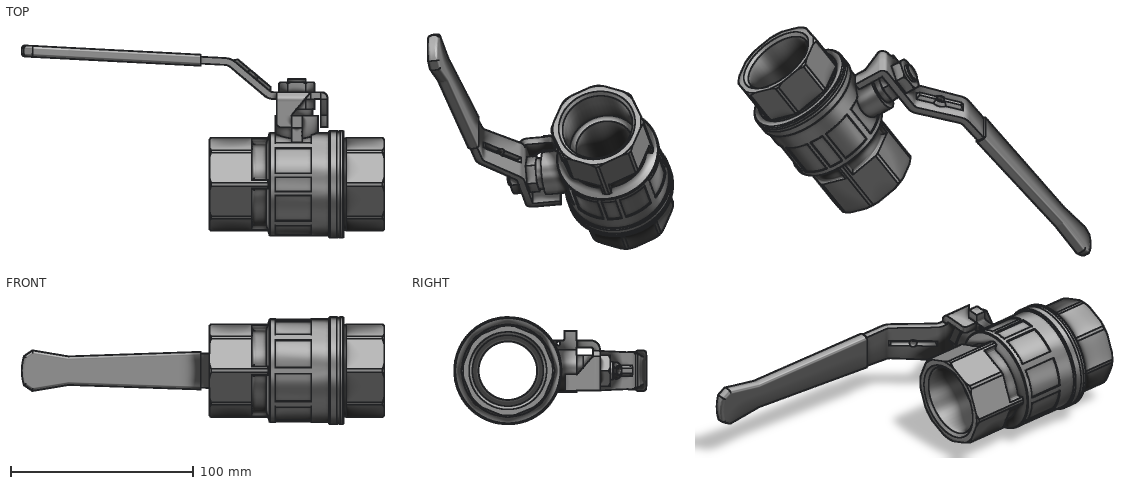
import cadquery as cq
import math


half_length = 48.0
octagon_flats = 48.0
octagon_corner_radius = 25.6
end_chamfer = 1.0
left_octagon_end = -15.0
cap_octagon_start = 27.1
cap_neck_radius = 25.3

shell_radius = 28.4
shell_start = -16.9
shoulder_end = -15.0
shoulder_chamfer = 0.5
flange_radius = 29.5
flange_start = 17.5
flange_end = 25.8
flange_edge = 0.7
flange_groove_x = 22.8
flange_groove_width = 1.8
flange_groove_depth = 0.4

bore_radius = 16.0
thread_radius = 19.5
thread_depth = 24.5
thread_mouth_radius = 21.3

neck_recess_start = -24.6
neck_recess_end = -14.0
neck_recess_radius = 22.2
neck_rib_half_angle = 5.5
neck_recess_fillet = 1.4

panel_start = -11.8
panel_end = 7.9
panel_depth = 0.8
panel_angles = [(-8.0, 8.0), (12.6, 45.3), (53.2, 86.4)]

boss_radius = 11.75
boss_top = 37.7
gland_radius = 8.6
gland_nut_bottom = 41.3
nut_flats = 17.0
nut_top = 56.1
nut_chamfer = 0.8
stem_radius = 5.0
stem_top = 58.0
stem_chamfer = 0.5

stop_half_width = 2.9
stop_height = 16.6
stop_top = 31.0
stop_bottom = 23.2
stop_lug_height = 21.8
stop_lug_fillet = 1.0
stop_hole_diameter = 2.0
stop_hole_y = 27.7
stop_hole_z = 14.9

lever_thickness = 3.9
plate_top = 50.6
plate_bottom = plate_top - lever_thickness
lever_root_half_width = 11.0
lever_root_x = -11.1
lever_tip_half_width = 9.4
lower_bend_x = -14.8
rise_angle = 40.0
upper_bend_x = -36.98
grip_angle = 3.0
lower_bend_outer_radius = 8.0
upper_bend_inner_radius = 5.0

rise_rib_base_width = 6.0
rise_rib_height = 2.0
rise_rib_end_gap = 2.0
rise_rib_taper = 40.0
rise_groove_width = 3.2
rise_groove_depth = 2.2
rise_groove_taper = 30.0
rise_hole_diameter = 4.4
rise_boss_base_diameter = 9.2

side_flange_outer_z = stop_height
side_flange_inner_radius = 1.2
side_flange_bottom = 31.4
side_flange_right = -2.8
side_flange_corner = 2.0
side_flange_slant_bottom = 38.0
side_flange_slant_x = 7.7

tab_inner_x = 13.0
tab_bend_radius = 3.5
tab_slant_top_z = 8.0
tab_slant_bottom_z = -2.0

grip_end_x = -150.94
grip_start_x = -52.7
grip_thickness = 6.2
grip_root_half_width = 10.4
grip_waist_x = -125.3
grip_waist_half_width = 7.9
grip_bulb_x = -145.0
grip_bulb_half_width = 11.2
grip_nose_half_width = 8.0
grip_nose_inset = 1.2
grip_edge_fillet = 1.9


def polar(radius, angle):
    """Point in the YZ plane at an angle in degrees from +Z toward +Y."""
    turn = math.radians(angle)
    return radius * math.sin(turn), radius * math.cos(turn)


def y_cylinder(radius, bottom, top):
    return cq.Workplane("XZ", origin=(0, bottom, 0)).circle(radius).extrude(bottom - top)


def ring_sector(x_start, x_end, inner, outer, angle_start, angle_end):
    """Block around the X axis, bounded by two radii and two angles from +Z."""
    middle = (angle_start + angle_end) / 2
    return (
        cq.Workplane("YZ", origin=(x_start, 0, 0))
        .moveTo(*polar(inner, angle_start))
        .threePointArc(polar(inner, middle), polar(inner, angle_end))
        .lineTo(*polar(outer, angle_end))
        .threePointArc(polar(outer, middle), polar(outer, angle_start))
        .close()
        .extrude(x_end - x_start)
    )


def octagon(x_start, x_end):
    """Octagon with its corners on the Y and Z axes, turned down at the corners."""
    length = x_end - x_start
    corner_diameter = octagon_flats / math.cos(math.pi / 8)
    prism = cq.Workplane("YZ", origin=(x_start, 0, 0)).polygon(8, corner_diameter).extrude(length)
    outer_face = "<X" if x_start < 0 else ">X"
    turned = (
        cq.Workplane("YZ", origin=(x_start, 0, 0))
        .circle(octagon_corner_radius)
        .extrude(length)
        .faces(outer_face)
        .chamfer(end_chamfer)
    )
    return prism.intersect(turned)


def neck_recess(quarter):
    """Cutter for one quarter of the neck, rounded along its floor."""
    first = 90 * quarter + neck_rib_half_angle
    last = 90 * (quarter + 1) - neck_rib_half_angle
    recess = ring_sector(
        neck_recess_start, neck_recess_end, neck_recess_radius, flange_radius, first, last
    )
    middle_x = (neck_recess_start + neck_recess_end) / 2
    floor_middle = (middle_x, *polar(neck_recess_radius, (first + last) / 2))
    return recess.faces(cq.selectors.NearestToPointSelector(floor_middle)).edges().fillet(
        neck_recess_fillet
    )


def shell():
    groove_left = flange_groove_x - flange_groove_width / 2
    groove_right = flange_groove_x + flange_groove_width / 2
    groove_radius = flange_radius - flange_groove_depth
    return (
        cq.Workplane("XY")
        .moveTo(shell_start, 0)
        .lineTo(shell_start, neck_recess_radius)
        .lineTo(shoulder_end, shell_radius - shoulder_chamfer)
        .lineTo(shoulder_end + shoulder_chamfer, shell_radius)
        .lineTo(flange_start, shell_radius)
        .lineTo(flange_start, flange_radius - flange_edge)
        .lineTo(flange_start + flange_edge, flange_radius)
        .lineTo(groove_left, flange_radius)
        .threePointArc((flange_groove_x, groove_radius), (groove_right, flange_radius))
        .lineTo(flange_end - flange_edge, flange_radius)
        .lineTo(flange_end, flange_radius - flange_edge)
        .lineTo(flange_end, cap_neck_radius)
        .lineTo(cap_octagon_start, cap_neck_radius)
        .lineTo(cap_octagon_start, 0)
        .close()
        .revolve(360, (0, 0, 0), (1, 0, 0))
    )


def cut_panels(body):
    """Sink the panels on the +Y side and their mirror images."""
    for first, last in panel_angles:
        panel = ring_sector(
            panel_start, panel_end, shell_radius - panel_depth, flange_radius, first, last
        )
        for copy in (panel, panel.mirror("XY")):
            body = body.cut(copy)
            if first > 0:
                body = body.cut(copy.mirror("XZ"))
    return body


def flow_bore():
    mouth_depth = thread_mouth_radius - thread_radius
    step_x = half_length - thread_depth
    return (
        cq.Workplane("XY")
        .moveTo(-half_length, 0)
        .lineTo(-half_length, thread_mouth_radius)
        .lineTo(-half_length + mouth_depth, thread_radius)
        .lineTo(-step_x, thread_radius)
        .lineTo(-step_x, bore_radius)
        .lineTo(step_x, bore_radius)
        .lineTo(step_x, thread_radius)
        .lineTo(half_length - mouth_depth, thread_radius)
        .lineTo(half_length, thread_mouth_radius)
        .lineTo(half_length, 0)
        .close()
        .revolve(360, (0, 0, 0), (1, 0, 0))
    )


def rotation_stop():
    """Rib on the boss with a tall lug above and a lower, drilled foot."""
    width = 2 * stop_half_width
    stop = (
        cq.Workplane("YZ", origin=(-stop_half_width, 0, 0))
        .moveTo(stop_bottom, 0)
        .lineTo(stop_bottom, stop_height)
        .lineTo(stop_top, stop_height)
        .lineTo(stop_top, stop_lug_height)
        .lineTo(boss_top, stop_lug_height)
        .lineTo(boss_top, 0)
        .close()
        .extrude(width)
    )
    inner_corner = cq.selectors.NearestToPointSelector((0, stop_top, stop_height))
    stop = stop.edges("|X").edges(inner_corner).fillet(stop_lug_fillet)
    hole = (
        cq.Workplane("YZ", origin=(-stop_half_width, stop_hole_y, stop_hole_z))
        .circle(stop_hole_diameter / 2)
        .extrude(width)
    )
    return stop.cut(hole)


def valve_body():
    left_end = octagon(-half_length, left_octagon_end)
    for quarter in range(4):
        left_end = left_end.cut(neck_recess(quarter))
    right_end = octagon(cap_octagon_start, half_length)
    body = cut_panels(shell()).union(left_end).union(right_end)
    body = body.union(y_cylinder(boss_radius, 0, boss_top))
    body = body.union(rotation_stop())
    return body.cut(flow_bore())


def stem_stack():
    corner_diameter = nut_flats / math.cos(math.pi / 6)
    nut = (
        cq.Workplane("XZ", origin=(0, gland_nut_bottom, 0))
        .polygon(6, corner_diameter)
        .extrude(gland_nut_bottom - nut_top)
    )
    turned = y_cylinder(corner_diameter / 2, gland_nut_bottom, nut_top)
    nut = nut.intersect(turned.faces(">Y").chamfer(nut_chamfer))
    stem = y_cylinder(stem_radius, nut_top, stem_top).faces(">Y").chamfer(stem_chamfer)
    return y_cylinder(gland_radius, boss_top, gland_nut_bottom).union(nut).union(stem)


plate_middle = plate_top - lever_thickness / 2
rise_slope = math.tan(math.radians(rise_angle))
grip_slope = math.tan(math.radians(grip_angle))
upper_bend_y = plate_middle + (lower_bend_x - upper_bend_x) * rise_slope


def grip_line_y(x):
    return upper_bend_y + (upper_bend_x - x) * grip_slope


def miter_offset(angle_before, angle_after):
    """Step from a bend of the centre line to the matching corner of the upper face."""
    middle = math.radians((angle_before + angle_after) / 2)
    half_turn = math.radians((angle_after - angle_before) / 2)
    reach = lever_thickness / 2 / math.cos(half_turn)
    return reach * math.sin(middle), reach * math.cos(middle)


def round_corner(strip, x, y, radius):
    """Round the bend edge of the strip that lies closest to the given place."""
    nearest = cq.selectors.NearestToPointSelector((x, y, 0))
    return strip.edges("|Z").edges(nearest).fillet(radius)


def lever_strip():
    """Bent strip of constant thickness, tapering in width toward the grip."""
    lower_dx, lower_dy = miter_offset(0, rise_angle)
    upper_dx, upper_dy = miter_offset(rise_angle, grip_angle)
    strip_end = grip_start_x - grip_thickness
    end_half = lever_thickness / 2 / math.cos(math.radians(grip_angle))
    strip = (
        cq.Workplane("XY")
        .moveTo(tab_inner_x, plate_bottom)
        .lineTo(lower_bend_x - lower_dx, plate_middle - lower_dy)
        .lineTo(upper_bend_x - upper_dx, upper_bend_y - upper_dy)
        .lineTo(strip_end, grip_line_y(strip_end) - end_half)
        .lineTo(strip_end, grip_line_y(strip_end) + end_half)
        .lineTo(upper_bend_x + upper_dx, upper_bend_y + upper_dy)
        .lineTo(lower_bend_x + lower_dx, plate_middle + lower_dy)
        .lineTo(tab_inner_x, plate_top)
        .close()
        .extrude(lever_root_half_width, both=True)
    )
    strip = round_corner(strip, lower_bend_x, plate_top, lower_bend_outer_radius - lever_thickness)
    strip = round_corner(strip, lower_bend_x, plate_bottom, lower_bend_outer_radius)
    upper_corner_top = upper_bend_y + upper_dy
    upper_corner_bottom = upper_bend_y - upper_dy
    strip = round_corner(strip, upper_bend_x, upper_corner_bottom, upper_bend_inner_radius)
    strip = round_corner(strip, upper_bend_x, upper_corner_top, upper_bend_inner_radius + lever_thickness)
    plan = (
        cq.Workplane("XZ")
        .moveTo(tab_inner_x, -lever_root_half_width)
        .lineTo(lever_root_x, -lever_root_half_width)
        .lineTo(grip_start_x, -lever_tip_half_width)
        .lineTo(strip_end, -lever_tip_half_width)
        .lineTo(strip_end, lever_tip_half_width)
        .lineTo(grip_start_x, lever_tip_half_width)
        .lineTo(lever_root_x, lever_root_half_width)
        .lineTo(side_flange_slant_x, lever_root_half_width)
        .lineTo(tab_inner_x, tab_slant_top_z)
        .close()
        .extrude(-2 * plate_top)
    )
    return strip.intersect(plan)


def rise_frame():
    """Plane on the upper face of the rise: local X climbs the rise, local Z leaves the face."""
    turn = math.radians(rise_angle)
    normal = (math.sin(turn), math.cos(turn), 0)
    half = lever_thickness / 2
    centre = (
        (lower_bend_x + upper_bend_x) / 2 + half * normal[0],
        (plate_middle + upper_bend_y) / 2 + half * normal[1],
        0,
    )
    climb = (-math.cos(turn), math.sin(turn), 0)
    return cq.Plane(origin=centre, xDir=climb, normal=normal)


def press_rise_rib(strip):
    """Rib raised above the rise, grooved below, with a bored boss at its middle."""
    rise_length = (lower_bend_x - upper_bend_x) / math.cos(math.radians(rise_angle))
    rib_length = rise_length - rise_rib_end_gap
    frame = rise_frame()
    rib = (
        cq.Workplane(frame)
        .rect(rib_length, rise_rib_base_width)
        .extrude(rise_rib_height, taper=rise_rib_taper)
    )
    boss = (
        cq.Workplane(frame)
        .circle(rise_boss_base_diameter / 2)
        .extrude(rise_rib_height, taper=rise_rib_taper)
    )
    groove = (
        cq.Workplane(frame)
        .workplane(offset=-lever_thickness)
        .rect(rib_length, rise_groove_width)
        .extrude(rise_groove_depth, taper=rise_groove_taper)
    )
    hole = (
        cq.Workplane(frame)
        .circle(rise_hole_diameter / 2)
        .extrude(2 * lever_thickness, both=True)
    )
    return strip.union(rib).union(boss).cut(groove).cut(hole)


def lever_flange():
    """Flange that bends from the plate and hangs level with the stop."""
    inner_z = side_flange_outer_z - lever_thickness
    inner_radius = side_flange_inner_radius
    bend_z = inner_z - inner_radius
    bend_y = plate_bottom - inner_radius
    outer_radius = inner_radius + lever_thickness
    diagonal = math.sqrt(0.5)
    section = (
        cq.Workplane("YZ", origin=(lever_root_x, 0, 0))
        .moveTo(plate_bottom, 0)
        .lineTo(plate_bottom, bend_z)
        .threePointArc(
            (bend_y + inner_radius * diagonal, bend_z + inner_radius * diagonal),
            (bend_y, inner_z),
        )
        .lineTo(side_flange_bottom, inner_z)
        .lineTo(side_flange_bottom, side_flange_outer_z)
        .lineTo(bend_y, side_flange_outer_z)
        .threePointArc(
            (bend_y + outer_radius * diagonal, bend_z + outer_radius * diagonal),
            (plate_top, bend_z),
        )
        .lineTo(plate_top, 0)
        .close()
        .extrude(side_flange_slant_x - lever_root_x)
    )
    outline = (
        cq.Workplane("XY")
        .moveTo(lever_root_x, plate_top)
        .lineTo(lever_root_x, side_flange_bottom)
        .lineTo(side_flange_right, side_flange_bottom)
        .lineTo(side_flange_right, side_flange_slant_bottom)
        .lineTo(side_flange_slant_x, plate_top)
        .close()
        .extrude(side_flange_outer_z)
        .edges("|Z and <X and <Y")
        .fillet(side_flange_corner)
    )
    return section.intersect(outline)


def lever_tab():
    """Tab at the end of the plate, narrowed by a slant on its +Z side."""
    outline = (
        cq.Workplane("YZ", origin=(tab_inner_x, 0, 0))
        .moveTo(plate_top, -lever_root_half_width)
        .lineTo(side_flange_bottom, -lever_root_half_width)
        .lineTo(side_flange_bottom, tab_slant_bottom_z)
        .lineTo(side_flange_slant_bottom, tab_slant_bottom_z)
        .lineTo(plate_bottom, tab_slant_top_z)
        .lineTo(plate_top, tab_slant_top_z)
        .close()
        .extrude(lever_thickness)
    )
    return outline.edges(">X and >Y").fillet(tab_bend_radius)


def grip():
    """Sleeve with a waist and a bulb, sloping with the end of the lever."""
    nose_x = grip_end_x + grip_nose_inset
    plan = (
        cq.Workplane("XZ")
        .moveTo(grip_start_x, -grip_root_half_width)
        .lineTo(grip_waist_x, -grip_waist_half_width)
        .lineTo(grip_bulb_x, -grip_bulb_half_width)
        .lineTo(nose_x, -grip_nose_half_width)
        .threePointArc((grip_end_x, 0), (nose_x, grip_nose_half_width))
        .lineTo(grip_bulb_x, grip_bulb_half_width)
        .lineTo(grip_waist_x, grip_waist_half_width)
        .lineTo(grip_start_x, grip_root_half_width)
        .close()
        .extrude(-2 * plate_top)
    )
    half = grip_thickness / 2
    side = (
        cq.Workplane("XY")
        .moveTo(grip_start_x, grip_line_y(grip_start_x) - half)
        .lineTo(grip_end_x, grip_line_y(grip_end_x) - half)
        .lineTo(grip_end_x, grip_line_y(grip_end_x) + half)
        .lineTo(grip_start_x, grip_line_y(grip_start_x) + half)
        .close()
        .extrude(grip_bulb_half_width, both=True)
    )
    body = plan.intersect(side)
    return body.faces("<Y or >Y").edges("not >X").fillet(grip_edge_fillet)


def lever():
    strip = press_rise_rib(lever_strip())
    return strip.union(lever_flange()).union(lever_tab()).union(grip())


result = valve_body().union(stem_stack()).union(lever())